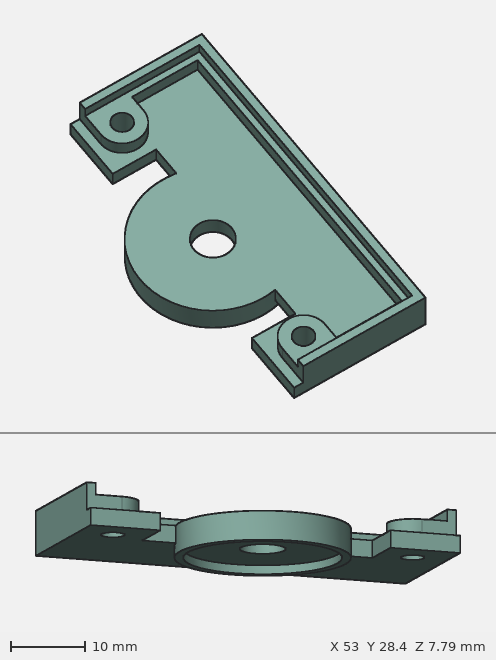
import cadquery as cq

tray_width = 53.0
floor_thickness = 2.4
tray_height = 6.2
plate_depth = 21.5
wall_depth = 20.0

disc_diameter = 23.8
disc_drop = 1.59
recess_diameter = 21.4
recess_depth = 1.2
axis_to_back = 16.5

wall_thickness = 1.3
ledge_width = 1.0
ledge_height = 4.6

boss_inset = 5.0
screw_hole_diameter = 3.2
center_hole_diameter = 6.2
notch_inset = 10.0
notch_back_depth = 14.4

back_y = axis_to_back
plate_front_y = back_y - plate_depth
wall_front_y = back_y - wall_depth
notch_back_y = back_y - notch_back_depth
half_width = tray_width / 2
boss_x = half_width - boss_inset
boss_radius = -wall_front_y
disc_bottom_z = -disc_drop


def block(x_min, x_max, y_min, y_max, z_min, z_max):
    """Box given by its limits along each axis."""
    size = (x_max - x_min, y_max - y_min, z_max - z_min)
    return cq.Workplane("XY").box(*size, centered=False).translate((x_min, y_min, z_min))


def cylinder(x, diameter, z_min, z_max):
    """Vertical cylinder standing on the line Y = 0."""
    plane = cq.Workplane("XY", origin=(x, 0, z_min))
    return plane.circle(diameter / 2).extrude(z_max - z_min)


def open_front_pocket(wall, z_min):
    """Space enclosed by side and back walls, open to the front and the top."""
    half_pocket = half_width - wall
    return block(-half_pocket, half_pocket, wall_front_y, back_y - wall, z_min, tray_height)


def make_floor():
    """Floor plate with a notch on either side of the disc."""
    floor = block(-half_width, half_width, plate_front_y, back_y, 0, floor_thickness)
    half_gap = half_width - notch_inset
    return floor.cut(block(-half_gap, half_gap, plate_front_y, notch_back_y, 0, floor_thickness))


def make_rim():
    """Three-sided rim stepped down to a ledge on its inner side."""
    rim = block(-half_width, half_width, wall_front_y, back_y, floor_thickness, tray_height)
    rim = rim.cut(open_front_pocket(wall_thickness, ledge_height))
    return rim.cut(open_front_pocket(wall_thickness + ledge_width, floor_thickness))


def make_boss(side):
    """Round screw boss joined to the side wall, level with the ledge."""
    center_x = side * boss_x
    wall_x = side * (half_width - wall_thickness)
    boss = cylinder(center_x, 2 * boss_radius, floor_thickness, ledge_height)
    web = block(
        min(center_x, wall_x), max(center_x, wall_x),
        -boss_radius, boss_radius,
        floor_thickness, ledge_height,
    )
    return boss.union(web)


def make_disc():
    """Solid disc hanging below the floor and flush with its top."""
    return cylinder(0, disc_diameter, disc_bottom_z, floor_thickness)


def cut_disc_openings(body):
    """Center hole and the shallow round recess in the underside of the disc."""
    body = body.cut(cylinder(0, center_hole_diameter, disc_bottom_z, floor_thickness))
    return body.cut(cylinder(0, recess_diameter, disc_bottom_z, disc_bottom_z + recess_depth))


result = make_floor().union(make_rim()).union(make_disc())
for side in (-1, 1):
    result = result.union(make_boss(side))
    result = result.cut(cylinder(side * boss_x, screw_hole_diameter, 0, ledge_height))
result = cut_disc_openings(result)